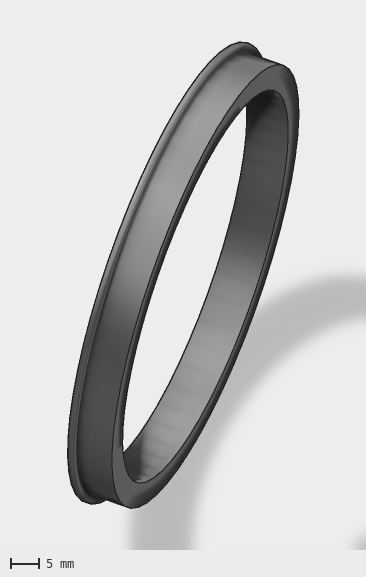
import cadquery as cq
import math

ring_length = 8.0
rim_radius = 43.15
barrel_radius = 41.5
bore_radius = 36.8

flange_thickness = 1.4
rim_width = 0.35
corner_radius = (flange_thickness - rim_width) / 2
corner_center_radius = rim_radius - corner_radius

root_fillet = 0.4
root_end = flange_thickness + root_fillet
root_center_radius = barrel_radius + root_fillet


def arc_middle(center_x, center_radius, size, x_sign, radius_sign):
    """Point halfway along a quarter arc, in the diagonal direction given by the signs."""
    offset = size * math.sqrt(0.5)
    return (center_x + x_sign * offset, center_radius + radius_sign * offset)


front_corner_middle = arc_middle(corner_radius, corner_center_radius, corner_radius, -1, 1)
back_corner_middle = arc_middle(corner_radius + rim_width, corner_center_radius, corner_radius, 1, 1)
root_middle = arc_middle(root_end, root_center_radius, root_fillet, -1, -1)

section = (
    cq.Workplane("XZ")
    .moveTo(0, bore_radius)
    .lineTo(0, corner_center_radius)
    .threePointArc(front_corner_middle, (corner_radius, rim_radius))
    .lineTo(corner_radius + rim_width, rim_radius)
    .threePointArc(back_corner_middle, (flange_thickness, corner_center_radius))
    .lineTo(flange_thickness, root_center_radius)
    .threePointArc(root_middle, (root_end, barrel_radius))
    .lineTo(ring_length, barrel_radius)
    .lineTo(ring_length, bore_radius)
    .close()
)

axis_start = (0, 0, 0)
axis_end = (1, 0, 0)
result = section.revolve(360, axis_start, axis_end)